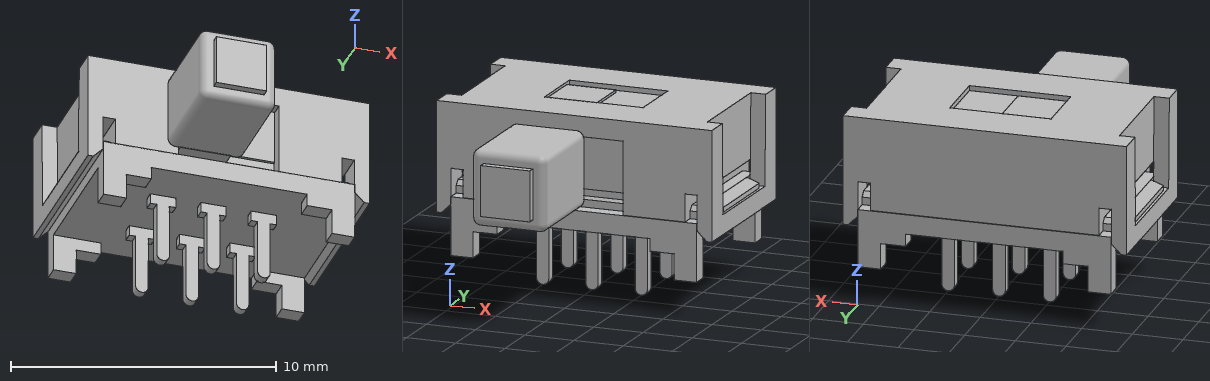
import cadquery as cq


case_length = 11.2
case_width = 6.48
base_length = 9.99
base_width = 6.6
top_z = 7.3
case_bottom_z = top_z - 4.38
base_top_z = top_z - 3.7
base_bottom_z = top_z - 4.48
wall = 0.5

end_chamfer = 0.39
end_pocket_top_width = 4.38
end_pocket_bottom_width = 4.21
sill_z = top_z - 3.58

slot_length = 0.48
slot_top_z = top_z - 2.6
ledge_top_z = top_z - 3.2
ledge_edge_z = top_z - 3.39
ledge_width = case_width - 2 * wall
latch_width = 3.61
latch_setback = 0.11

window_length = 4.0
window_top_z = top_z - 0.8
slider_bottom_z = top_z - 2.98
undercut = 0.11
top_opening_width = 2.5
top_opening_depth = 0.2
slider_top_drop = 0.1

slider_size = window_length / 2
slider_x = -window_length / 4
neck_height = 2.6
neck_top_z = top_z - 0.87
neck_gap = 0.26
button_size = 3.0
button_length = 3.9
button_top_z = top_z - 0.5
button_fillet = 0.3
tip_length = 0.3

foot_thickness = 0.68
foot_length = 0.91
foot_bottom_z = top_z - 6.0
foot_step_length = 1.89
foot_step_z = top_z - 4.97

pin_pitch = 2.0
pin_row_spacing = 2.5
pin_width = 0.5
pin_thickness = 0.39
pin_shoulder_width = 1.01
pin_shoulder_z = top_z - 4.9

case_end_x = case_length / 2
base_end_x = base_length / 2
slot_inner_x = base_end_x - slot_length
case_front_y = -case_width / 2
window_back_y = case_front_y + wall
button_back_y = case_front_y - neck_gap
button_front_y = button_back_y - button_length


def block(x_range, y_range, z_range):
    """Axis-aligned box between the given limits."""
    (x0, x1), (y0, y1), (z0, z1) = x_range, y_range, z_range
    return cq.Workplane("XY").box(x1 - x0, y1 - y0, z1 - z0, centered=False).translate((x0, y0, z0))


def around(centre, size):
    """Limits of a span centred on a place."""
    return (centre - size / 2, centre + size / 2)


def prism_along_y(points, y_range):
    """XZ outline extruded between two Y limits."""
    y0, y1 = y_range
    return cq.Workplane("XZ", origin=(0, y1, 0)).polyline(points).close().extrude(y1 - y0)


def prism_along_x(points, x_range):
    """YZ outline extruded between two X limits."""
    x0, x1 = x_range
    return cq.Workplane("YZ", origin=(x0, 0, 0)).polyline(points).close().extrude(x1 - x0)


def on_both_ends(shape):
    """The shape on the +X end together with its mirror image on the -X end."""
    return shape.union(shape.mirror("YZ"))


def make_case():
    """Cover whose end walls hang down past the base and are chamfered inside."""
    chamfer_top_z = case_bottom_z + end_chamfer
    chamfer_tip_x = base_end_x + end_chamfer
    outline = [
        (-case_end_x, top_z),
        (case_end_x, top_z),
        (case_end_x, case_bottom_z),
        (chamfer_tip_x, case_bottom_z),
        (base_end_x, chamfer_top_z),
        (-base_end_x, chamfer_top_z),
        (-chamfer_tip_x, case_bottom_z),
        (-case_end_x, case_bottom_z),
    ]
    return prism_along_y(outline, around(0, case_width))


def make_end_pockets():
    """Slightly tapered pockets in the two end walls, open upwards."""
    top_half = end_pocket_top_width / 2
    bottom_half = end_pocket_bottom_width / 2
    outline = [(-top_half, top_z), (top_half, top_z), (bottom_half, sill_z), (-bottom_half, sill_z)]
    return on_both_ends(prism_along_x(outline, (base_end_x, case_end_x)))


def make_end_slots():
    """Slots right through the width, just inside the end pockets."""
    slot = block((slot_inner_x, base_end_x), around(0, case_width), (base_top_z, slot_top_z))
    return on_both_ends(slot)


def make_ledges():
    """Catch ledges standing in the end slots, chamfered along both long edges."""
    edge_half = ledge_width / 2
    top_half = edge_half - (ledge_top_z - ledge_edge_z)
    outline = [
        (-edge_half, base_top_z),
        (edge_half, base_top_z),
        (edge_half, ledge_edge_z),
        (top_half, ledge_top_z),
        (-top_half, ledge_top_z),
        (-edge_half, ledge_edge_z),
    ]
    return on_both_ends(prism_along_x(outline, (slot_inner_x, base_end_x)))


def make_latches():
    """Sloped latches that reach from the ledges out over the pocket sills."""
    latch_tip_x = case_end_x - latch_setback
    outline = [
        (base_end_x, sill_z),
        (latch_tip_x, sill_z),
        (latch_tip_x, ledge_edge_z),
        (base_end_x, ledge_top_z),
    ]
    return on_both_ends(prism_along_y(outline, around(0, latch_width)))


def make_front_window():
    """Window for the button neck, undercut below the slider down to a chamfered rim."""
    undercut_y = window_back_y + undercut
    outline = [
        (case_front_y, window_top_z),
        (window_back_y, window_top_z),
        (window_back_y, slider_bottom_z),
        (undercut_y, slider_bottom_z),
        (undercut_y, ledge_edge_z + undercut),
        (window_back_y, ledge_edge_z),
        (window_back_y, base_top_z),
        (case_front_y, base_top_z),
    ]
    return prism_along_x(outline, around(0, window_length))


def make_top_opening():
    """Shallow opening in the roof with the top of the slider standing in it."""
    floor_z = top_z - top_opening_depth
    opening = block(around(0, window_length), around(0, top_opening_width), (floor_z, top_z))
    slider = block(around(slider_x, slider_size), around(0, slider_size), (floor_z, top_z - slider_top_drop))
    return opening.cut(slider)


def make_base():
    """Base plate with a stepped foot at each corner."""
    step_end_x = base_end_x - foot_step_length
    foot_inner_x = base_end_x - foot_length
    plate = block(around(0, base_length), around(0, base_width), (base_bottom_z, base_top_z))
    foot_outline = [
        (base_end_x, base_bottom_z),
        (base_end_x, foot_bottom_z),
        (foot_inner_x, foot_bottom_z),
        (foot_inner_x, foot_step_z),
        (step_end_x, foot_step_z),
        (step_end_x, base_bottom_z),
    ]
    feet = on_both_ends(prism_along_y(foot_outline, (-base_width / 2, foot_thickness - base_width / 2)))
    return plate.union(feet).union(feet.mirror("XZ"))


def make_pin(x, y):
    """Flat pin with a wide shoulder under the base and a round tip."""
    radius = pin_width / 2
    half_shoulder = pin_shoulder_width / 2
    return (
        cq.Workplane("XZ", origin=(x, y + pin_thickness / 2, 0))
        .moveTo(-half_shoulder, base_bottom_z)
        .lineTo(-half_shoulder, pin_shoulder_z)
        .lineTo(-radius, pin_shoulder_z)
        .lineTo(-radius, radius)
        .threePointArc((0, 0), (radius, radius))
        .lineTo(radius, pin_shoulder_z)
        .lineTo(half_shoulder, pin_shoulder_z)
        .lineTo(half_shoulder, base_bottom_z)
        .close()
        .extrude(pin_thickness)
    )


def make_button():
    """Push button with rounded edges, its neck and the raised square on its face."""
    x_range = around(slider_x, button_size)
    button = block(x_range, (button_front_y, button_back_y), (button_top_z - button_size, button_top_z))
    button = button.edges("|Y or <Y").fillet(button_fillet)
    neck = block(
        around(slider_x, slider_size),
        (button_back_y, window_back_y),
        (neck_top_z - neck_height, neck_top_z),
    )
    tip = block(
        around(slider_x, slider_size),
        (button_front_y - tip_length, button_front_y),
        around(button_top_z - button_size / 2, slider_size),
    )
    return button.union(neck).union(tip)


case = make_case().cut(make_end_pockets()).cut(make_end_slots())
case = case.cut(make_front_window()).cut(make_top_opening())

result = case.union(make_ledges()).union(make_latches()).union(make_base()).union(make_button())
for pin_x in (-pin_pitch, 0, pin_pitch):
    for pin_y in around(0, pin_row_spacing):
        result = result.union(make_pin(pin_x, pin_y))